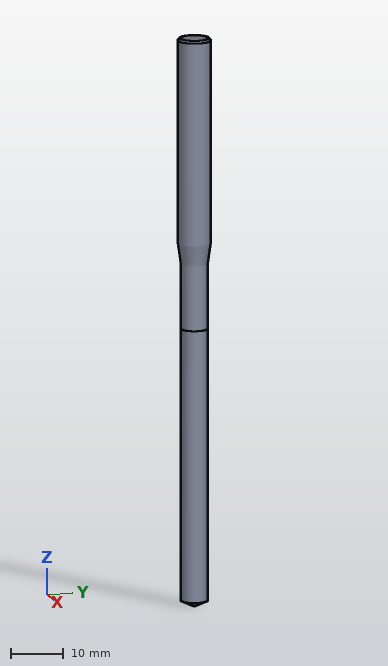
import cadquery as cq
import math

TOTAL_LENGTH = 110.7
SHANK_DIAMETER = 6.3
DRILL_DIAMETER = 5.2

SHANK_LENGTH = 40.0
TAPER_LENGTH = 4.0
TOP_CHAMFER = 0.4

CUTTING_LENGTH = 54.1
POINT_ANGLE = 130.0

shank_radius = SHANK_DIAMETER / 2
drill_radius = DRILL_DIAMETER / 2
point_height = drill_radius / math.tan(math.radians(POINT_ANGLE / 2))
shank_bottom = TOTAL_LENGTH - SHANK_LENGTH
taper_bottom = shank_bottom - TAPER_LENGTH


def revolve_about_z(profile_points):
    """Revolve a closed (radius, height) profile a full turn about Z."""
    return cq.Workplane("XZ").polyline(profile_points).close().revolve(360, (0, 0), (0, 1))


def make_shank():
    """Chamfered shank that tapers down to a neck of the drill diameter."""
    return revolve_about_z([
        (0, CUTTING_LENGTH),
        (drill_radius, CUTTING_LENGTH),
        (drill_radius, taper_bottom),
        (shank_radius, shank_bottom),
        (shank_radius, TOTAL_LENGTH - TOP_CHAMFER),
        (shank_radius - TOP_CHAMFER, TOTAL_LENGTH),
        (0, TOTAL_LENGTH),
    ])


def make_cutting_section():
    """Cylinder with a conical point, meeting the neck at its flat top."""
    return revolve_about_z([
        (0, 0),
        (drill_radius, point_height),
        (drill_radius, CUTTING_LENGTH),
        (0, CUTTING_LENGTH),
    ])


shank = make_shank()
cutting_section = make_cutting_section()

result = cq.Compound.makeCompound([shank.val(), cutting_section.val()])